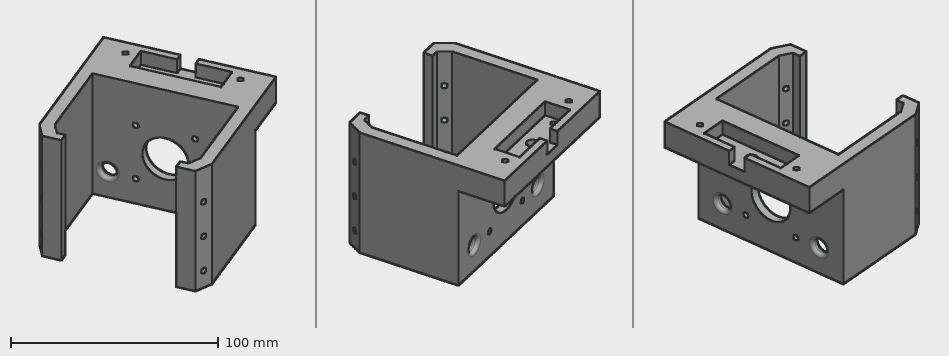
import cadquery as cq
import math

width = 90.0
depth = 90.1
height = 70.0
half_width = width / 2

shelf_depth = 25.9
shelf_height = 15.0
back_thickness = 5.0
side_thickness = 7.0
lip_thickness = 5.0
lip_reach = 15.0
bevel_angle = 60.0
outer_bevel_width = 5.0
inner_bevel_width = 3.6
bevel_slope = math.tan(math.radians(bevel_angle))
outer_bevel_depth = outer_bevel_width * bevel_slope
inner_bevel_depth = inner_bevel_width * bevel_slope

pocket_width = 47.55
pocket_depth = 8.0
pocket_rear_wall = 4.2
pocket_length = 14.0
slot_width = 9.6
pocket_hole_row = 11.2
pocket_hole_offset = 20.0
shaft_diameter = 6.0
shelf_hole_row = 8.65
shelf_hole_offset = 30.0
shelf_hole_diameter = 3.0

motor_height = 30.0
motor_diameter = 24.0
motor_screw_offset = 15.5
screw_diameter = 3.0

cable_offset = 30.0
cable_height = 15.0
cable_diameter = 8.0
cable_rounding = 2.0

bevel_hole_spacing = 20.0
bevel_hole_length = 18.0


def make_body():
    front = -depth
    inner_x = half_width - side_thickness
    lip_inner = front + lip_thickness
    right_half = [
        (0, -shelf_depth),
        (half_width, -shelf_depth),
        (half_width, front + outer_bevel_depth),
        (half_width - outer_bevel_width, front),
        (half_width - lip_reach, front),
        (half_width - lip_reach, lip_inner),
        (inner_x - inner_bevel_width, lip_inner),
        (inner_x, lip_inner + inner_bevel_depth),
        (inner_x, -shelf_depth - back_thickness),
        (0, -shelf_depth - back_thickness),
    ]
    half_body = cq.Workplane("XY").polyline(right_half).close().extrude(height)
    shelf = (
        cq.Workplane("XY", origin=(0, -shelf_depth / 2, height - shelf_height))
        .rect(width, shelf_depth)
        .extrude(shelf_height)
    )
    return half_body.union(half_body.mirror("YZ")).union(shelf)


def cut_shelf(body):
    floor = height - pocket_depth
    pocket_y = -pocket_rear_wall - pocket_length / 2
    pocket = (
        cq.Workplane("XY", origin=(0, pocket_y, floor))
        .rect(pocket_width, pocket_length)
        .extrude(pocket_depth)
    )
    slot = (
        cq.Workplane("XY", origin=(0, -pocket_rear_wall / 2, floor))
        .rect(slot_width, pocket_rear_wall)
        .extrude(pocket_depth)
    )
    shelf_bottom = cq.Workplane("XY", origin=(0, 0, height - shelf_height))
    small_holes = (
        shelf_bottom
        .pushPoints(
            [(side * shelf_hole_offset, -shelf_hole_row) for side in (-1, 1)]
            + [(side * pocket_hole_offset, -pocket_hole_row) for side in (-1, 1)]
        )
        .circle(shelf_hole_diameter / 2)
        .extrude(shelf_height)
    )
    shaft_hole = (
        shelf_bottom.center(0, -pocket_hole_row).circle(shaft_diameter / 2).extrude(shelf_height)
    )
    return body.cut(pocket).cut(slot).cut(small_holes).cut(shaft_hole)


def cut_motor_mount(body):
    wall = cq.Workplane("XZ", origin=(0, -shelf_depth, motor_height))
    opening = wall.circle(motor_diameter / 2).extrude(back_thickness)
    screws = (
        wall.rect(2 * motor_screw_offset, 2 * motor_screw_offset, forConstruction=True)
        .vertices()
        .circle(screw_diameter / 2)
        .extrude(back_thickness)
    )
    return body.cut(opening).cut(screws)


def cut_cable_holes(body):
    bore_radius = cable_diameter / 2
    mouth_radius = bore_radius + cable_rounding
    arc_inset = cable_rounding * (1 - math.sqrt(0.5))
    front = -shelf_depth - back_thickness
    cutter = (
        cq.Workplane("XY")
        .moveTo(0, front)
        .lineTo(mouth_radius, front)
        .threePointArc(
            (bore_radius + arc_inset, front + arc_inset), (bore_radius, front + cable_rounding)
        )
        .lineTo(bore_radius, -shelf_depth - cable_rounding)
        .threePointArc(
            (bore_radius + arc_inset, -shelf_depth - arc_inset), (mouth_radius, -shelf_depth)
        )
        .lineTo(0, -shelf_depth)
        .close()
        .revolve(360, (0, 0), (0, 1))
    )
    for side in (-1, 1):
        body = body.cut(cutter.translate((side * cable_offset, 0, cable_height)))
    return body


def cut_bevel_holes(body):
    angle = math.radians(bevel_angle)
    start_y = -depth + outer_bevel_depth / 2
    for side in (-1, 1):
        start_x = side * (half_width - outer_bevel_width / 2)
        inward = cq.Vector(-side * math.sin(angle), math.cos(angle), 0)
        for row in (-1, 0, 1):
            start = cq.Vector(start_x, start_y, motor_height + row * bevel_hole_spacing)
            drill = cq.Solid.makeCylinder(screw_diameter / 2, bevel_hole_length, start, inward)
            body = body.cut(cq.Workplane(drill))
    return body


result = make_body()
result = cut_shelf(result)
result = cut_motor_mount(result)
result = cut_cable_holes(result)
result = cut_bevel_holes(result)